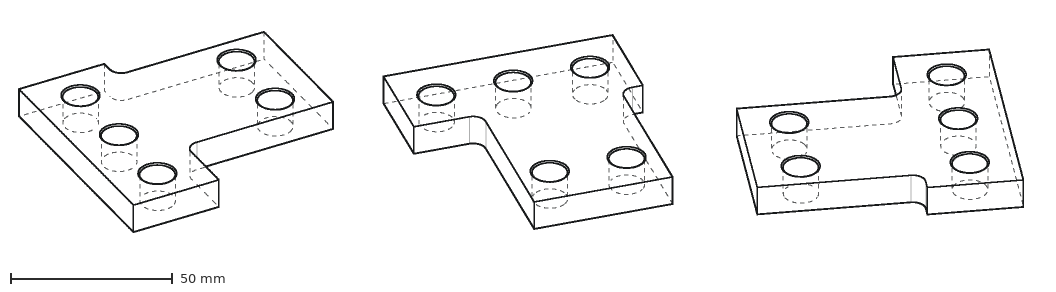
import cadquery as cq

width = 74.5
length = 82.0
thickness = 10.0
foot_length = 30.0
stem_width = 45.0
stem_offset = 7.55
corner_radius = 4.0

hole_diameter = 11.0
hole_chamfer = 0.5
hole_pitch = 25.0
stem_hole_side_inset = 10.0
stem_hole_end_inset = 15.0

stem_left = stem_offset
stem_right = stem_left + stem_width

foot = cq.Workplane("XY").box(width, foot_length, thickness, centered=False)
stem = (
    cq.Workplane("XY")
    .box(stem_width, length, thickness, centered=False)
    .translate((stem_left, 0, 0))
)
inner_corners = cq.selectors.BoxSelector(
    (stem_left - 0.8, foot_length - 0.8, -0.8),
    (stem_right + 0.8, foot_length + 0.8, thickness + 0.8),
)
plate = foot.union(stem).edges("|Z").edges(inner_corners).fillet(corner_radius)

foot_holes = [(width / 2 + i * hole_pitch, foot_length / 2) for i in (-1, 0, 1)]
stem_holes = [
    (stem_left + stem_hole_side_inset + i * hole_pitch, length - stem_hole_end_inset)
    for i in (0, 1)
]
hole_centres = foot_holes + stem_holes

result = (
    plate.faces(">Z")
    .workplane(origin=(0, 0, thickness))
    .pushPoints(hole_centres)
    .hole(hole_diameter)
    .faces(">Z")
    .edges("%CIRCLE")
    .edges(cq.selectors.RadiusNthSelector(-1))
    .chamfer(hole_chamfer)
)